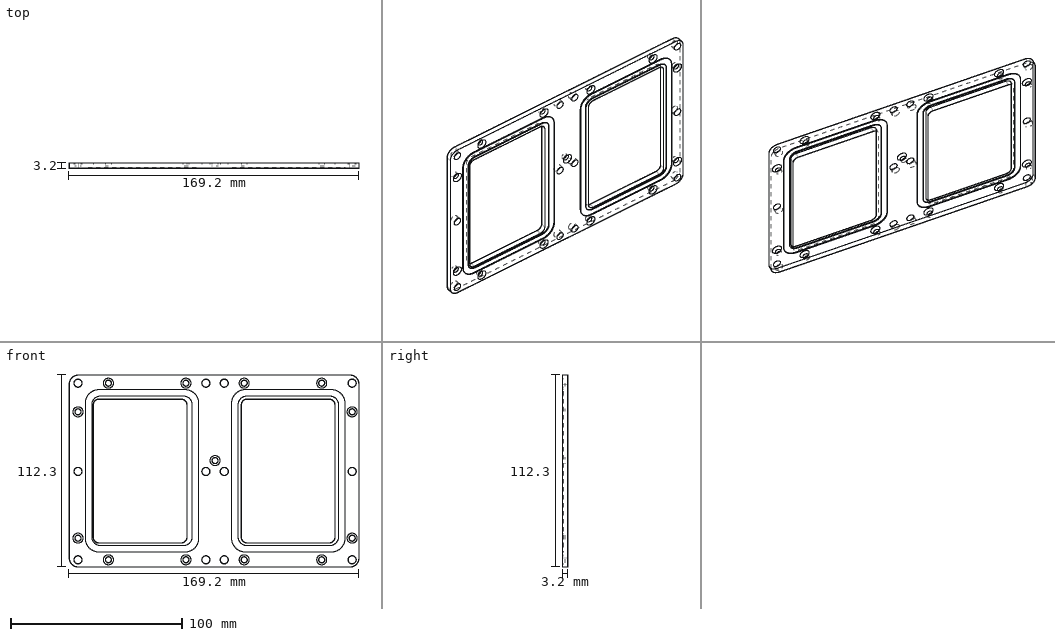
import cadquery as cq

LENGTH = 169.21
HEIGHT = 112.27
THICKNESS = 3.2
CORNER_RADIUS = 5.5
FRONT_Y = -THICKNESS / 2

WINDOW_WIDTH = 54.5
WINDOW_HEIGHT = 83.8
WINDOW_RADIUS = 3.2
WINDOW_SPACING = 86.4

GROOVE_SPACING = 85.4
GROOVE_CENTRE_X = 0.6
GROOVE_CENTRE_Z = 0.15
GROOVE_INNER_WIDTH = 58.6
GROOVE_INNER_HEIGHT = 87.2
GROOVE_INNER_RADIUS = 5.0
GROOVE_OUTER_RADIUS = 8.0
GROOVE_WIDTH = 3.8
GROOVE_DEPTH = 0.55

PATTERN_X = 0.55
PATTERN_Z = -0.25

HOLE_DIAMETER = 4.57
HOLE_COLUMN_X = 80.0
MIDDLE_HOLE_X = 5.35
HOLE_ROW_Z = 51.55

SCREW_DIAMETER = 3.38
SINK_DIAMETER = 5.85
SINK_ANGLE = 82
SCREW_INNER_X = 17.0
SCREW_OUTER_X = 62.25
SCREW_SIDE_SPACING = 73.7
SCREW_SIDE_MIDDLE_Z = -2.05
CENTRE_SCREW_Z = 6.35


def front_plane():
    """Work plane on the front face: local x is X, local y is Z, normal is -Y."""
    return cq.Workplane("XZ", origin=(0, FRONT_Y, 0))


def rounded_block(centre_x, centre_z, width, height, radius, depth):
    """Round-cornered block reaching from the front face into the plate."""
    block = front_plane().center(centre_x, centre_z).rect(width, height).extrude(-depth)
    return block.edges("|Y").fillet(radius)


def seal_groove(centre_x):
    """Ring that is cut into the front face around a window."""
    outer = rounded_block(
        centre_x,
        GROOVE_CENTRE_Z,
        GROOVE_INNER_WIDTH + 2 * GROOVE_WIDTH,
        GROOVE_INNER_HEIGHT + 2 * GROOVE_WIDTH,
        GROOVE_OUTER_RADIUS,
        GROOVE_DEPTH,
    )
    island = rounded_block(
        centre_x,
        GROOVE_CENTRE_Z,
        GROOVE_INNER_WIDTH,
        GROOVE_INNER_HEIGHT,
        GROOVE_INNER_RADIUS,
        GROOVE_DEPTH,
    )
    return outer.cut(island)


def pattern_plane(body):
    """Work plane on the front face, centred on the hole pattern."""
    return body.faces("<Y").workplane(origin=(PATTERN_X, FRONT_Y, PATTERN_Z))


def plain_hole_points():
    """Three rows of four holes."""
    columns = (-HOLE_COLUMN_X, -MIDDLE_HOLE_X, MIDDLE_HOLE_X, HOLE_COLUMN_X)
    rows = (-HOLE_ROW_Z, 0, HOLE_ROW_Z)
    return [(x, z) for x in columns for z in rows]


def screw_points():
    """Screws along all four edges, and one in the middle web."""
    points = [(0, CENTRE_SCREW_Z)]
    for side_x in (-1, 1):
        for side_z in (-1, 1):
            points.append((side_x * SCREW_INNER_X, side_z * HOLE_ROW_Z))
            points.append((side_x * SCREW_OUTER_X, side_z * HOLE_ROW_Z))
            points.append((side_x * HOLE_COLUMN_X, SCREW_SIDE_MIDDLE_Z + side_z * SCREW_SIDE_SPACING / 2))
    return points


plate = rounded_block(0, 0, LENGTH, HEIGHT, CORNER_RADIUS, THICKNESS)

for window_x in (-WINDOW_SPACING / 2, WINDOW_SPACING / 2):
    plate = plate.cut(rounded_block(window_x, 0, WINDOW_WIDTH, WINDOW_HEIGHT, WINDOW_RADIUS, THICKNESS))

for offset_x in (-GROOVE_SPACING / 2, GROOVE_SPACING / 2):
    plate = plate.cut(seal_groove(GROOVE_CENTRE_X + offset_x))

plate = pattern_plane(plate).pushPoints(plain_hole_points()).hole(HOLE_DIAMETER)

result = pattern_plane(plate).pushPoints(screw_points()).cskHole(SCREW_DIAMETER, SINK_DIAMETER, SINK_ANGLE)